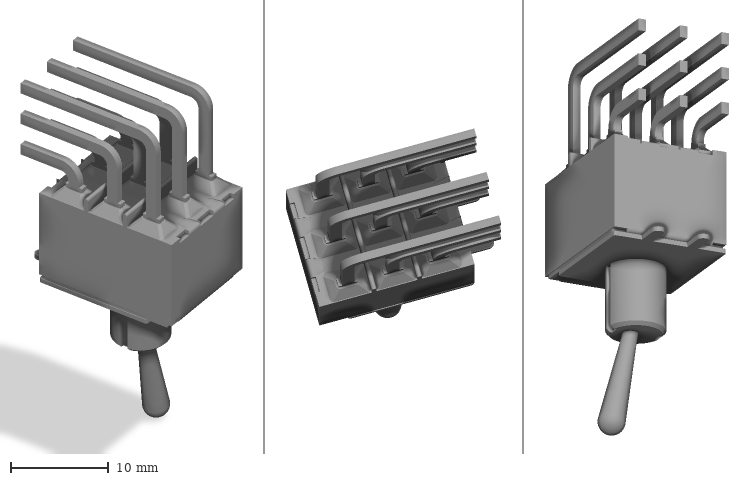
import cadquery as cq
import math


body_x = 16.5
body_y = 12.7
body_top = 11.05
body_bottom = 0.95

base_end_inset = 0.65
base_side_inset = 0.1

strap_y = 9.65
strap_thickness = 0.5
strap_drop = 0.58
strap_bend_radius = 0.58

plate_thickness = 0.5
plate_right = 5.15
plate_corner_radius = 0.25
prong_tip = -11.35
prong_width = 1.3
prong_y = 2.55

notch_y = 2.2
notch_length = 2.0
notch_depth = 0.15
notch_mouth_half = 1.05
notch_neck_half = 0.8
notch_nose = 0.65
notch_lip_radius = 0.37

column_pitch = 4.85
row_pitch = 4.7
columns = (-1, 0, 1)
rows = (-1, 0, 1)

mound_x = 4.38
mound_y = 3.15
mound_height = 1.0
mound_inset = 0.95
mound_corner = 0.3
shoulder_x = 2.05
shoulder_height = 0.5

pin_thickness = 1.3
pin_width = 0.83
pin_tip = -11.45
pin_top = 22.8
pin_level_pitch = 3.8
bend_inner_radius = 1.0
bend_outer_radius = bend_inner_radius + pin_thickness

ridge_width = 0.5
ridge_height = 1.53

bushing_diameter = 6.28
bushing_bottom = -7.1
bushing_chamfer = 0.37
keyway_width = 1.05
keyway_depth = 0.75

lever_tilt = 12
lever_pivot_z = -4.15
lever_neck_diameter = 1.65
lever_neck_length = 3.68
lever_length = 13.2
lever_tip_radius = 1.45


def block(x0, x1, y_size, z0, z1):
    """Box between two X and two Z values, centred on Y = 0."""
    box = cq.Workplane("XY").box(x1 - x0, y_size, z1 - z0, centered=(False, True, False))
    return box.translate((x0, 0, z0))


def notch(y):
    """Cutter at the -X end: rounded outline, floor falling towards the end face, rounded lip."""
    end_x = -body_x / 2
    apex_x = end_x + notch_length
    nose_x = apex_x - notch_nose
    lip_x = end_x + notch_lip_radius
    lip_z = body_top - notch_depth
    lip_mid = notch_lip_radius * (1 - math.sqrt(0.5))
    outline = (
        cq.Workplane("XY")
        .moveTo(end_x, -notch_mouth_half)
        .lineTo(nose_x, -notch_neck_half)
        .threePointArc((apex_x, 0), (nose_x, notch_neck_half))
        .lineTo(end_x, notch_mouth_half)
        .close()
        .extrude(body_top)
    )
    removed = (
        cq.Workplane("XZ")
        .moveTo(apex_x, body_top)
        .lineTo(lip_x, lip_z)
        .threePointArc((end_x + lip_mid, lip_z - lip_mid), (end_x, lip_z - notch_lip_radius))
        .lineTo(end_x, body_top)
        .close()
        .extrude(notch_mouth_half, both=True)
    )
    return outline.intersect(removed).translate((0, y, 0))


def strap_ledge():
    """Cutter lowering the strap's top edge at the -X end, interrupted at the notches."""
    end_x = -body_x / 2
    ledge = block(end_x, end_x + strap_thickness, strap_y, body_top - strap_drop, body_top)
    for y in (-notch_y, notch_y):
        ledge = ledge.cut(
            block(end_x, end_x + strap_thickness, 2 * notch_mouth_half, 0, body_top).translate((0, y, 0))
        )
    return ledge


def housing():
    half = body_x / 2
    base_half = half - base_end_inset
    base_y = body_y - 2 * base_side_inset
    strap = (
        block(-half, half, strap_y, plate_thickness, body_bottom + strap_bend_radius)
        .edges("|Y and <Z")
        .fillet(strap_bend_radius)
    )
    body = (
        block(-half, half, body_y, body_bottom, body_top)
        .cut(block(-half, half, strap_y, body_bottom, body_bottom + strap_bend_radius))
        .union(block(-base_half, base_half, base_y, plate_thickness, body_bottom))
        .union(strap)
    )
    end_cuts = strap_ledge().union(notch(-notch_y)).union(notch(notch_y))
    return body.cut(end_cuts).cut(end_cuts.mirror("YZ"))


def mounting_plate():
    plate = block(-body_x / 2, plate_right, body_y, 0, plate_thickness)
    plate = plate.edges("|Z").fillet(plate_corner_radius)
    for y in (-prong_y, prong_y):
        tip_x = prong_tip + prong_width / 2
        prong = block(tip_x, 0, prong_width, 0, plate_thickness)
        tip = cq.Workplane("XY").center(tip_x, 0).circle(prong_width / 2).extrude(plate_thickness)
        plate = plate.union(prong.union(tip).translate((0, y, 0)))
    return plate


def mound():
    """Truncated pyramid with bevelled corners and the pin's shoulder on top."""

    def outline(workplane, x_size, y_size):
        x_end = x_size / 2
        y_end = y_size / 2
        x_flat = x_end - mound_corner
        y_flat = y_end - mound_corner
        corners = [
            (-x_end, -y_flat), (-x_flat, -y_end), (x_flat, -y_end), (x_end, -y_flat),
            (x_end, y_flat), (x_flat, y_end), (-x_flat, y_end), (-x_end, y_flat),
        ]
        return workplane.polyline(corners).close()

    pyramid = outline(cq.Workplane("XY"), mound_x, mound_y).workplane(offset=mound_height)
    pyramid = outline(pyramid, mound_x - 2 * mound_inset, mound_y - 2 * mound_inset).loft(ruled=True)
    shoulder = block(-shoulder_x / 2, shoulder_x / 2, pin_width, mound_height, mound_height + shoulder_height)
    return pyramid.union(shoulder)


def pin(column):
    """Upright leg bent over towards -X; columns further to +X reach higher."""
    right_x = column * column_pitch + pin_thickness / 2
    left_x = right_x - pin_thickness
    top_z = pin_top - (1 - column) * pin_level_pitch
    bend_x = right_x - bend_outer_radius
    bend_z = top_z - bend_outer_radius
    foot_z = body_top + mound_height
    diagonal = math.sqrt(0.5)
    return (
        cq.Workplane("XZ")
        .moveTo(right_x, foot_z)
        .lineTo(right_x, bend_z)
        .threePointArc(
            (bend_x + bend_outer_radius * diagonal, bend_z + bend_outer_radius * diagonal), (bend_x, top_z)
        )
        .lineTo(pin_tip, top_z)
        .lineTo(pin_tip, top_z - pin_thickness)
        .lineTo(bend_x, top_z - pin_thickness)
        .threePointArc(
            (bend_x + bend_inner_radius * diagonal, bend_z + bend_inner_radius * diagonal), (left_x, bend_z)
        )
        .lineTo(left_x, foot_z)
        .close()
        .extrude(pin_width / 2, both=True)
    )


def ridge():
    """Thin wall across the housing with a fully rounded crest."""
    radius = ridge_width / 2
    crest_z = body_top + ridge_height - radius
    wall = block(-radius, radius, body_y, body_top, crest_z)
    crest = cq.Workplane("XZ").center(0, crest_z).circle(radius).extrude(body_y / 2, both=True)
    return wall.union(crest)


def bushing():
    radius = bushing_diameter / 2
    barrel = cq.Workplane("XY").circle(radius).extrude(bushing_bottom)
    barrel = barrel.faces("<Z").chamfer(bushing_chamfer)
    slot = block(-keyway_width / 2, keyway_width / 2, 2 * keyway_depth, bushing_bottom, 0)
    for y in (-radius, radius):
        barrel = barrel.cut(slot.translate((0, y, 0)))
    return barrel


def lever():
    """Round neck, cone widening to the tip and a hemispherical end, revolved about the lever axis."""
    neck_radius = lever_neck_diameter / 2
    tip_side = lever_tip_radius * math.sqrt(0.5)
    profile = (
        cq.Workplane("XZ")
        .lineTo(neck_radius, 0)
        .lineTo(neck_radius, -lever_neck_length)
        .lineTo(lever_tip_radius, -lever_length)
        .threePointArc((tip_side, -lever_length - tip_side), (0, -lever_length - lever_tip_radius))
        .close()
    )
    shaft = profile.revolve(360, (0, 0, 0), (0, 1, 0))
    return shaft.rotate((0, 0, 0), (1, 0, 0), lever_tilt).translate((0, 0, lever_pivot_z))


result = housing().union(mounting_plate()).union(bushing()).union(lever())
for column in columns:
    x = column * column_pitch
    for row in rows:
        y = row * row_pitch
        result = result.union(mound().translate((x, y, body_top)))
        result = result.union(pin(column).translate((0, y, 0)))
for side in (-0.5, 0.5):
    result = result.union(ridge().translate((side * column_pitch, 0, 0)))